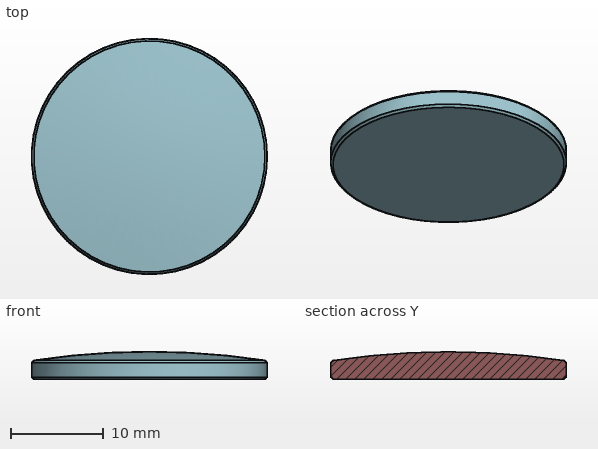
import cadquery as cq

diameter = 25.4
center_thickness = 3.0
bevel = 0.25
dome_edge_height = 2.05

radius = diameter / 2
face_radius = radius - bevel
dome_rise = center_thickness - dome_edge_height

sphere_radius = (face_radius**2 + dome_rise**2) / (2 * dome_rise)
sphere_center_height = center_thickness - sphere_radius

arc_mid_radius = face_radius / 2
arc_mid_height = sphere_center_height + (sphere_radius**2 - arc_mid_radius**2) ** 0.5

half_section = (
    cq.Workplane("XZ")
    .lineTo(face_radius, 0)
    .lineTo(radius, bevel)
    .lineTo(radius, dome_edge_height - bevel)
    .lineTo(face_radius, dome_edge_height)
    .threePointArc((arc_mid_radius, arc_mid_height), (0, center_thickness))
    .close()
)

result = half_section.revolve(360, (0, 0, 0), (0, 1, 0))